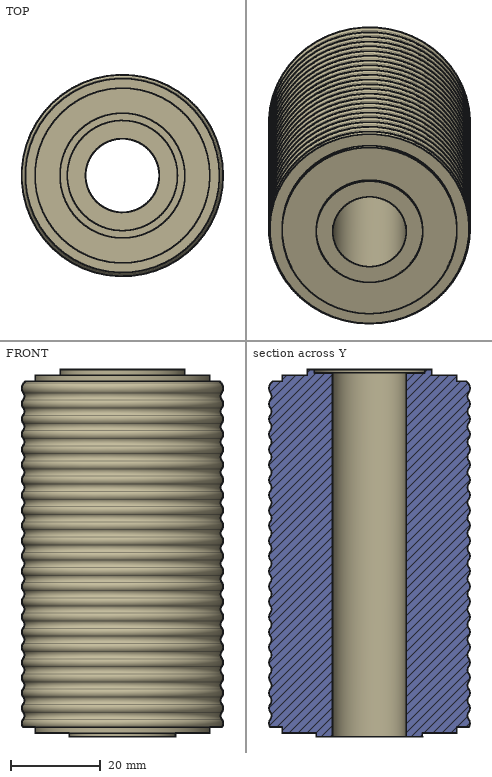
import cadquery as cq
import math

total_height = 82.0
rib_diameter = 45.0
rib_radius = rib_diameter / 2
rib_count = 23

top_ring_radius = 13.9
top_ring_height = 1.3
recess_radius = 12.3
recess_depth = 0.8
bottom_ring_radius = 11.9
bottom_ring_height = 0.8
disk_radius = 19.5
disk_height = 1.3
bore_radius = 8.2

groove_depth = 0.6
groove_width = 1.6

top_rib_arc_radius = 1.7
top_rib_drop = 0.53
bevel_width = 0.3

body_bottom = bottom_ring_height + disk_height
body_top = total_height - top_ring_height - disk_height
body_height = body_top - body_bottom

pitch = (body_height + groove_width / 2) / rib_count
rib_width = pitch - groove_width
top_rib_height = rib_width + groove_width / 2

groove_floor_radius = rib_radius - groove_depth
joint_radius = groove_floor_radius + groove_depth * groove_width / pitch


def arc_half_chord(arc_radius, drop):
    """Axial distance from the crest of an arc to where it has dropped by the given amount."""
    return math.sqrt(2 * arc_radius * drop - drop**2)


def ribbed_body():
    """Solid of revolution with a wavy wall and a bevelled top edge."""
    profile = cq.Workplane("XZ").moveTo(0, body_bottom).lineTo(joint_radius, body_bottom)

    for index in range(rib_count - 1):
        rib_foot = body_bottom + index * pitch
        rib_head = rib_foot + rib_width
        rib_crest = (rib_radius, rib_foot + rib_width / 2)
        groove_floor = (groove_floor_radius, rib_head + groove_width / 2)
        profile = profile.threePointArc(rib_crest, (joint_radius, rib_head))
        profile = profile.threePointArc(groove_floor, (joint_radius, rib_foot + pitch))

    top_crest = body_top - top_rib_height + arc_half_chord(top_rib_arc_radius, rib_radius - joint_radius)
    bevel_bottom = top_crest + arc_half_chord(top_rib_arc_radius, top_rib_drop)
    bevel_radius = rib_radius - top_rib_drop
    profile = (
        profile.threePointArc((rib_radius, top_crest), (bevel_radius, bevel_bottom))
        .lineTo(bevel_radius - bevel_width, body_top)
        .lineTo(0, body_top)
        .close()
    )
    return profile.revolve(360, (0, 0, 0), (0, 1, 0))


def cylinder(radius, bottom, top):
    """Cylinder on the Z axis between two levels."""
    return cq.Workplane("XY").workplane(offset=bottom).circle(radius).extrude(top - bottom)


result = (
    ribbed_body()
    .union(cylinder(disk_radius, bottom_ring_height, body_top + disk_height))
    .union(cylinder(bottom_ring_radius, 0, bottom_ring_height))
    .union(cylinder(top_ring_radius, body_top + disk_height, total_height))
    .cut(cylinder(recess_radius, total_height - recess_depth, total_height))
    .cut(cylinder(bore_radius, 0, total_height))
)